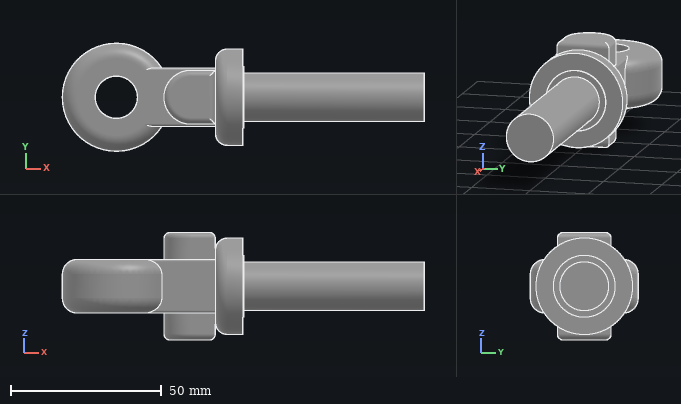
import cadquery as cq

total_length = 120.2

eye_diameter = 35.9
eye_thickness = 17.9
eye_rounding = 5.0
eye_hole_diameter = 14.0
eye_tip_to_flange = 50.8

neck_width = 19.5
neck_rounding = 0.8

lug_span = 35.8
lug_width = 17.9
lug_length = 17.1
lug_rounding = 2.0

flange_diameter = 32.1
flange_thickness = 9.1
flange_rounding = 4.0

shoulder_diameter = 20.5
shoulder_thickness = 0.4

shank_diameter = 16.2

eye_radius = eye_diameter / 2
lug_radius = lug_width / 2
shank_end = total_length - eye_radius
flange_front = eye_tip_to_flange - eye_radius
flange_back = flange_front + flange_thickness
lug_arc_center = flange_front - lug_length + lug_radius


def make_eye():
    """Thick disc with generously rounded rims."""
    disc = cq.Workplane("XY").circle(eye_radius).extrude(eye_thickness / 2, both=True)
    return disc.edges("%CIRCLE").fillet(eye_rounding)


def make_neck():
    """Rectangular bar from the eye centre to the flange, with rounded long edges."""
    bar = cq.Workplane("XY").box(flange_front, neck_width, eye_thickness, centered=(False, True, True))
    return bar.edges("|X").fillet(neck_rounding)


def make_lugs():
    """Block standing out above and below the neck, round towards the eye."""
    block = (
        cq.Workplane("XY")
        .moveTo(flange_front, -lug_radius)
        .lineTo(lug_arc_center, -lug_radius)
        .threePointArc((lug_arc_center - lug_radius, 0), (lug_arc_center, lug_radius))
        .lineTo(flange_front, lug_radius)
        .close()
        .extrude(lug_span / 2, both=True)
    )
    return block.faces("<Z or >Z").edges().fillet(lug_rounding)


def cylinder_along_x(diameter, start, end):
    return cq.Workplane("YZ").workplane(offset=start).circle(diameter / 2).extrude(end - start)


def make_shank():
    """Flange with a rounded front rim, thin shoulder and plain round shank."""
    shoulder_back = flange_back + shoulder_thickness
    flange = cylinder_along_x(flange_diameter, flange_front, flange_back)
    flange = flange.faces("<X").edges().fillet(flange_rounding)
    shoulder = cylinder_along_x(shoulder_diameter, flange_back, shoulder_back)
    shank = cylinder_along_x(shank_diameter, shoulder_back, shank_end)
    return flange.union(shoulder).union(shank)


eye_hole = cq.Workplane("XY").circle(eye_hole_diameter / 2).extrude(eye_thickness, both=True)

result = make_eye().union(make_neck()).union(make_lugs()).union(make_shank()).cut(eye_hole)